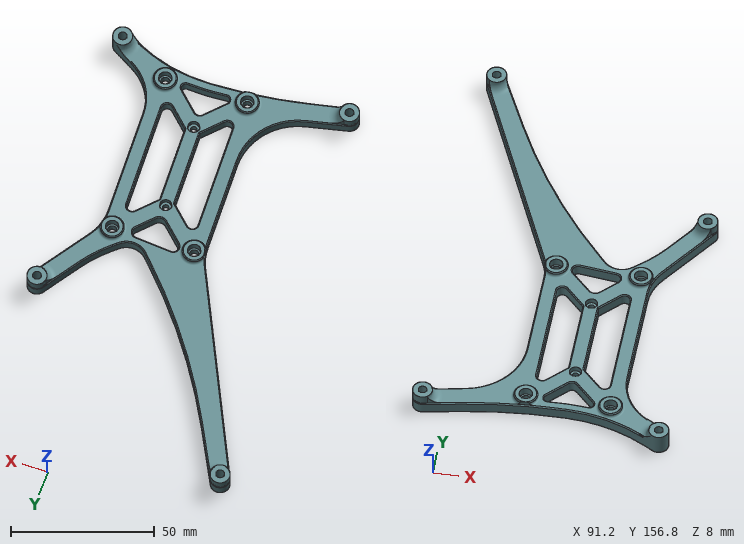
import cadquery as cq
import math

plate_thickness = 4.4
lug_height = 8.0
boss_height = 6.0
edge_chamfer = 0.4

lug_radius = 3.5
lug_hole_diameter = 3.0
lug_fillet = 3.5
lug_back_left = (-50.4, 109.9)
lug_back_right = (33.8, 56.9)
lug_front_right = (33.8, -39.9)
lug_front_left = (-50.4, -36.2)
lugs = [lug_back_left, lug_back_right, lug_front_right, lug_front_left]

boss_pitch_x = 30.0
boss_pitch_y = 60.0
boss_radius = 4.2
boss_fillet = 0.9
boss_chamfer = 0.4
boss_hole_diameter = 3.2
boss_bore_diameter = 4.6
boss_bore_depth = 3.0

center_hole_pitch = 31.6
center_hole_diameter = 2.2
center_bore_diameter = 4.2
center_bore_depth = 2.0

frame_half_width = 18.5
rail_width = 5.5
center_bar_width = 5.5
brace_apex_y = 19.9
brace_width = 6.0
window_radius = 2.0

back_window_apex_radius = 2.6
back_window_left = 12.7
back_window_right = 10.3
front_window_left = 11.0
front_window_right = 11.2
front_window_corner_radius = 1.5
front_window_crest_y = -30.4
front_window_crest_radius = 60.0

back_left_outer_heading = -66.0
back_left_inner_heading = -64.0
back_right_heading = 54.5
front_right_outer_heading = -31.0
front_right_inner_heading = -29.0
front_left_inner_heading = 10.8
front_left_outer_heading = 11.5

back_left_blend = 22.0
back_right_blend = 18.0
front_right_blend = 20.0
front_left_blend = 22.0
front_edge = (0, -33.7)
front_right_bow = 59.0
front_left_bow = 188.0
valley = (5.9, 30.6)
valley_left_heading = -47.3
valley_right_heading = 40.0
valley_radius = 7.0
back_left_bow = 225.0
back_right_bend = 50.0

sharp_end_x = 28.4


def offset_point(center, radius, heading):
    """Point at the given distance and heading from a centre."""
    angle = math.radians(heading)
    return (center[0] + radius * math.cos(angle), center[1] + radius * math.sin(angle))


def left_tangent(lug, heading):
    """Point where an edge at the given heading touches a lug lying to its right."""
    return offset_point(lug, lug_radius, heading + 90)


def right_tangent(lug, heading):
    """Point where an edge at the given heading touches a lug lying to its left."""
    return offset_point(lug, lug_radius, heading - 90)


def lug_end(lug, start, end, outward_heading):
    """Arc around the end of a lug, as start, middle and end points."""
    return (start, offset_point(lug, lug_radius, outward_heading), end)


def meet(point_a, heading_a, point_b, heading_b):
    """Intersection of two lines, each given by a point and a heading."""
    ax, ay = offset_point((0, 0), 1, heading_a)
    bx, by = offset_point((0, 0), 1, heading_b)
    dx, dy = point_b[0] - point_a[0], point_b[1] - point_a[1]
    reach = (dx * by - dy * bx) / (ax * by - ay * bx)
    return (point_a[0] + reach * ax, point_a[1] + reach * ay)


def corner_arc(before, point, after, radius):
    """Start, middle and end of the round that replaces a corner."""
    corner = cq.Vector(*point)
    back = (cq.Vector(*before) - corner).normalized()
    ahead = (cq.Vector(*after) - corner).normalized()
    half_angle = back.getAngle(ahead) / 2
    setback = radius / math.tan(half_angle)
    bulge = radius / math.sin(half_angle) - radius
    middle = corner + (back + ahead).normalized() * bulge
    points = (corner + back * setback, middle, corner + ahead * setback)
    return [(p.x, p.y) for p in points]


def rounded_outline(entries):
    """Closed outline of straight edges and rounds.

    An entry is (point, radius) for a corner, with radius 0 for a sharp one,
    or three points for an arc that is followed as it stands.
    """
    stretches = []
    for index, entry in enumerate(entries):
        if len(entry) == 3:
            stretches.append(entry)
            continue
        point, radius = entry
        if radius == 0:
            stretches.append([point])
            continue
        previous = entries[index - 1]
        following = entries[(index + 1) % len(entries)]
        before = previous[2] if len(previous) == 3 else previous[0]
        stretches.append(corner_arc(before, point, following[0], radius))
    outline = cq.Workplane("XY").moveTo(*stretches[-1][-1])
    for stretch in stretches:
        outline = outline.lineTo(*stretch[0])
        if len(stretch) == 3:
            outline = outline.threePointArc(stretch[1], stretch[2])
    return outline.close()


def plate_outline():
    """Outer edge of the plate, clockwise from the back left lug."""
    back_left_outer = right_tangent(lug_back_left, back_left_outer_heading)
    back_left_inner = left_tangent(lug_back_left, back_left_inner_heading)
    back_right_inner = left_tangent(lug_back_right, back_right_heading)
    back_right_outer = right_tangent(lug_back_right, back_right_heading)
    front_right_outer = left_tangent(lug_front_right, front_right_outer_heading)
    front_right_inner = right_tangent(lug_front_right, front_right_inner_heading)
    front_left_inner = right_tangent(lug_front_left, front_left_inner_heading)
    front_left_outer = left_tangent(lug_front_left, front_left_outer_heading)
    left_side = (-frame_half_width, 0)
    right_side = (frame_half_width, 0)
    bow_corner = meet(back_left_inner, back_left_inner_heading, valley, valley_left_heading)
    bend_corner = meet(valley, valley_right_heading, back_right_inner, back_right_heading)
    return rounded_outline([
        lug_end(lug_back_left, back_left_outer, back_left_inner, back_left_outer_heading + 180),
        (bow_corner, back_left_bow),
        (valley, valley_radius),
        (bend_corner, back_right_bend),
        lug_end(lug_back_right, back_right_inner, back_right_outer, back_right_heading),
        (meet(back_right_outer, back_right_heading, right_side, 90), back_right_blend),
        (meet(front_right_outer, front_right_outer_heading, right_side, 90), front_right_blend),
        lug_end(lug_front_right, front_right_outer, front_right_inner, front_right_inner_heading),
        (meet(front_right_inner, front_right_inner_heading, front_edge, 0), front_right_bow),
        (meet(front_left_inner, front_left_inner_heading, front_edge, 0), front_left_bow),
        lug_end(lug_front_left, front_left_inner, front_left_outer, front_left_outer_heading + 180),
        (meet(front_left_outer, front_left_outer_heading, left_side, 90), front_left_blend),
        (meet(back_left_outer, back_left_outer_heading, left_side, 90), back_left_blend),
    ])


def slot_window(side):
    """Long opening between a side rail and the centre bar; side is -1 or +1 in X."""
    outer_x = frame_half_width - rail_width
    inner_x = center_bar_width / 2
    brace_edge_y = brace_apex_y - brace_width * math.sqrt(2)
    outer_y = brace_edge_y + outer_x
    inner_y = brace_edge_y + inner_x
    return rounded_outline([
        ((side * outer_x, outer_y), window_radius),
        ((side * inner_x, inner_y), 0),
        ((side * inner_x, -inner_y), 0),
        ((side * outer_x, -outer_y), window_radius),
    ])


def back_window():
    return rounded_outline([
        ((0, brace_apex_y), back_window_apex_radius),
        ((back_window_right, brace_apex_y + back_window_right), window_radius),
        ((-back_window_left, brace_apex_y + back_window_left), window_radius),
    ])


def front_window():
    return rounded_outline([
        ((0, -brace_apex_y), window_radius),
        ((front_window_right, -brace_apex_y - front_window_right), front_window_corner_radius),
        ((0, front_window_crest_y), front_window_crest_radius),
        ((-front_window_left, -brace_apex_y - front_window_left), front_window_corner_radius),
    ])


def chamfered_plate():
    plate = plate_outline().extrude(plate_thickness)
    for window in (slot_window(-1), slot_window(1), back_window(), front_window()):
        plate = plate.cut(window.extrude(plate_thickness))
    return plate.faces(">Z").edges().chamfer(edge_chamfer)


def sharp_arm_end():
    """End of the front right arm with its full, unchamfered section."""
    end_x = lug_front_right[0] + lug_radius
    end_y = lug_front_right[1] - lug_radius
    block = cq.Workplane("XY").box(end_x - sharp_end_x, -end_y, plate_thickness, centered=False)
    block = block.translate((sharp_end_x, end_y, 0))
    return plate_outline().extrude(plate_thickness).intersect(block)


def flared_post(center, radius, flare, height):
    """Post standing on the plate top, flaring out to the plate through a concave round."""
    rise = height - plate_thickness
    inset = flare * (1 - math.sqrt(0.5))
    profile = (
        cq.Workplane("XZ")
        .lineTo(radius + flare, 0)
        .threePointArc((radius + inset, inset), (radius, flare))
        .lineTo(radius, rise)
        .lineTo(0, rise)
        .close()
    )
    post = profile.revolve(360, (0, 0, 0), (0, 1, 0))
    return post.translate((*center, plate_thickness))


def lug_post(lug, footprint):
    """Lug above the plate; its flare is trimmed to the footprint, its cylinder is not."""
    flare = flared_post(lug, lug_radius, lug_fillet, lug_height).intersect(footprint)
    cylinder = (
        cq.Workplane("XY", origin=(*lug, plate_thickness))
        .circle(lug_radius)
        .extrude(lug_height - plate_thickness)
    )
    return flare.union(cylinder)


def boss_post(center, footprint):
    post = flared_post(center, boss_radius, boss_fillet, boss_height)
    return post.faces(">Z").chamfer(boss_chamfer).intersect(footprint)


def bores(points, diameter, depth, top):
    """Round cutters reaching down from the given height."""
    base = cq.Workplane("XY", origin=(0, 0, top - depth)).pushPoints(points)
    return base.circle(diameter / 2).extrude(depth)


bosses = [
    (side_x * boss_pitch_x / 2, side_y * boss_pitch_y / 2)
    for side_x in (-1, 1)
    for side_y in (-1, 1)
]
center_holes = [(0, side_y * center_hole_pitch / 2) for side_y in (-1, 1)]

part = chamfered_plate()
top_edge = part.faces(">Z").val().outerWire()
inset_footprint = cq.Workplane("XY").add(top_edge).toPending().extrude(lug_height)
full_footprint = plate_outline().extrude(lug_height)
part = part.union(sharp_arm_end())

for lug in lugs:
    footprint = full_footprint if lug == lug_front_right else inset_footprint
    part = part.union(lug_post(lug, footprint))
for boss in bosses:
    part = part.union(boss_post(boss, inset_footprint))

part = part.cut(bores(lugs, lug_hole_diameter, lug_height, lug_height))
part = part.cut(bores(bosses, boss_hole_diameter, boss_height, boss_height))
part = part.cut(bores(bosses, boss_bore_diameter, boss_bore_depth, boss_height))
part = part.cut(bores(center_holes, center_hole_diameter, plate_thickness, plate_thickness))
part = part.cut(bores(center_holes, center_bore_diameter, center_bore_depth, plate_thickness))

result = part